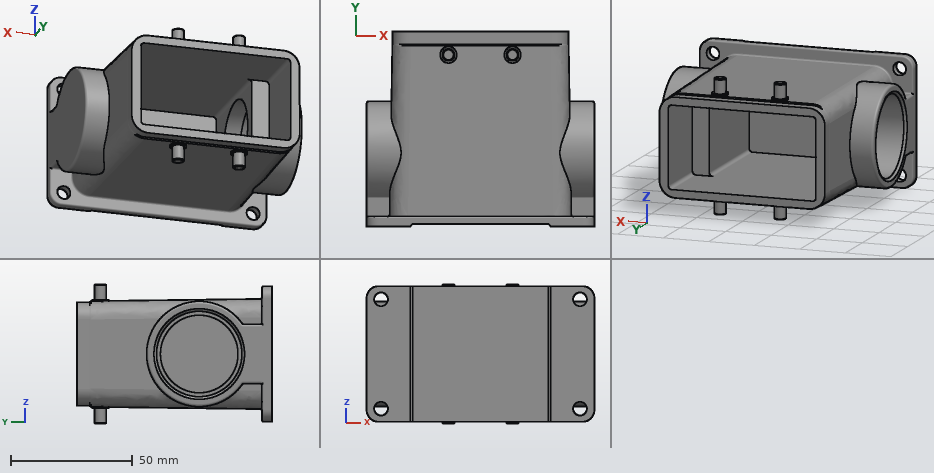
import cadquery as cq

plate_width = 94.0
plate_height = 56.0
plate_thickness = 4.15
plate_corner_radius = 5.0
plate_rim_fillet = 0.7

channel_width = 58.0
channel_depth = 1.0

hole_diameter = 5.6
hole_spacing_x = 82.0
hole_spacing_z = 45.0

total_length = 80.38
shoulder_start = 74.5
shoulder_end = 75.2
body_base_width = 75.0
body_base_height = 45.5
body_end_width = 72.8
body_end_height = 43.7
body_corner_radius = 7.6
lip_width = 72.7
lip_height = 42.7
lip_corner_radius = 7.0
root_fillet = 0.7

margin = 0.1

entry_y = 30.0
entry_outer_radius = 21.7
rib_height = 24.6
entry_corner_fillet = 0.7
entry_rim_fillet = 1.1
foot_height = rib_height + 4 * entry_corner_fillet

bore_radius = 17.6
bore_depth = 15.0
bore_chamfer = 1.1
inner_bore_radius = 16.0

wall = 4.0
mouth_width = body_end_width - 2 * wall
cavity_height = body_end_height - 2 * wall
chamber_width = 50.0
cavity_corner_radius = 1.5
mouth_floor_y = entry_y + entry_outer_radius

pin_spacing = 26.4
pin_y = 70.75
pin_radius = 2.5
pin_tip_z = 57.51 / 2
pin_tip_chamfer = 0.4
collar_radius = 3.4
collar_top_z = 22.4


def section_plane(y):
    """Workplane parallel to XZ at the given y, with its normal along +Y."""
    return cq.Workplane(cq.Plane(origin=(0, y, 0), xDir=(1, 0, 0), normal=(0, 1, 0)))


def rounded_rectangle(width, height, radius):
    return cq.Sketch().rect(width, height).vertices().fillet(radius)


def rounded_block(y_start, y_end, width, height, radius):
    outline = rounded_rectangle(width, height, radius)
    return section_plane(y_start).placeSketch(outline).extrude(y_end - y_start)


def tapered_block(y_start, start_outline, y_end, end_outline):
    length = y_end - y_start
    end_location = cq.Location(cq.Vector(0, 0, length))
    sections = section_plane(y_start).placeSketch(start_outline, end_outline.moved(end_location))
    return sections.loft(ruled=True)


def make_plate():
    plate = rounded_block(0, plate_thickness, plate_width, plate_height, plate_corner_radius)
    return plate.faces(">Y").edges().fillet(plate_rim_fillet)


def make_body():
    base_outline = rounded_rectangle(body_base_width, body_base_height, body_corner_radius)
    end_outline = rounded_rectangle(body_end_width, body_end_height, body_corner_radius)
    lip_outline = rounded_rectangle(lip_width, lip_height, lip_corner_radius)
    body = tapered_block(plate_thickness, base_outline, shoulder_start, end_outline)
    shoulder = tapered_block(shoulder_start, end_outline, shoulder_end, lip_outline)
    lip = rounded_block(shoulder_end, total_length, lip_width, lip_height, lip_corner_radius)
    return body.union(shoulder).union(lip)


def add_root_fillet(part):
    """Round the corner where the body meets the front face of the plate."""
    root = cq.selectors.BoxSelector(
        (-body_base_width / 2 - margin, plate_thickness - margin, -body_base_height / 2 - margin),
        (body_base_width / 2 + margin, plate_thickness + margin, body_base_height / 2 + margin),
        boundingbox=True,
    )
    return part.edges(root).fillet(root_fillet)


def make_entry_bosses():
    """One bar spanning the plate width: a cylinder joined to the plate by a rib on a low foot."""
    cylinder = (
        cq.Workplane("YZ", origin=(-plate_width / 2, 0, 0))
        .center(entry_y, 0)
        .circle(entry_outer_radius)
        .extrude(plate_width)
    )
    rib = cq.Workplane("XY").box(plate_width, entry_y, rib_height)
    rib = rib.translate((0, entry_y / 2, 0))
    foot = cq.Workplane("XY").box(plate_width, plate_thickness, foot_height)
    foot = foot.translate((0, plate_thickness / 2, 0))
    bosses = cylinder.union(rib).union(foot)

    inner_corners = cq.selectors.BoxSelector(
        (-plate_width, plate_thickness / 2 + margin, -rib_height / 2 - margin),
        (plate_width, entry_y - margin, rib_height / 2 + margin),
    )
    bosses = bosses.edges("|X").edges(inner_corners).fillet(entry_corner_fillet)
    for side in ("<X", ">X"):
        cylinder_rim = bosses.faces(side).edges("%CIRCLE").edges(">Y")
        bosses = cylinder_rim.fillet(entry_rim_fillet)
    return bosses


def make_pin(x, side):
    """A collared pin pointing along Z, up for side 1 and down for side -1."""
    pin = (
        cq.Workplane("XY", origin=(x, pin_y, 0))
        .circle(pin_radius)
        .extrude(pin_tip_z)
        .faces(">Z")
        .chamfer(pin_tip_chamfer)
    )
    collar = cq.Workplane("XY", origin=(x, pin_y, 0)).circle(collar_radius).extrude(collar_top_z)
    pin = pin.union(collar)
    return pin if side > 0 else pin.mirror("XY")


def add_pins(part):
    for x in (-pin_spacing / 2, pin_spacing / 2):
        for side in (1, -1):
            part = part.union(make_pin(x, side))
    return part


def make_cavity():
    chamber = rounded_block(
        plate_thickness, mouth_floor_y, chamber_width, cavity_height, cavity_corner_radius
    )
    mouth = rounded_block(
        mouth_floor_y, total_length, mouth_width, cavity_height, cavity_corner_radius
    )
    return chamber.union(mouth)


def make_entry_bore():
    """Bore along X, entering from the -X side and ending inside the cavity."""
    mouth_radius = bore_radius + bore_chamfer
    step_x = bore_depth - plate_width / 2
    profile = [
        (-plate_width / 2, 0),
        (-plate_width / 2, mouth_radius),
        (bore_chamfer - plate_width / 2, bore_radius),
        (step_x, bore_radius),
        (step_x, inner_bore_radius),
        (0, inner_bore_radius),
        (0, 0),
    ]
    bore = cq.Workplane("XY").polyline(profile).close().revolve(360, (0, 0, 0), (1, 0, 0))
    return bore.translate((0, entry_y, 0))


def make_mounting_holes():
    return (
        section_plane(0)
        .rarray(hole_spacing_x, hole_spacing_z, 2, 2)
        .circle(hole_diameter / 2)
        .extrude(plate_thickness)
    )


def make_back_channel():
    """Channel along Z whose side walls slope at 45 degrees."""
    half_width = channel_width / 2
    floor_half_width = half_width - channel_depth
    profile = [
        (-half_width, 0),
        (-floor_half_width, channel_depth),
        (floor_half_width, channel_depth),
        (half_width, 0),
    ]
    return cq.Workplane("XY").polyline(profile).close().extrude(plate_height / 2, both=True)


housing = add_root_fillet(make_body().union(make_plate()))
housing = add_pins(housing.union(make_entry_bosses()))
for cut in (make_cavity(), make_entry_bore(), make_mounting_holes(), make_back_channel()):
    housing = housing.cut(cut)

result = housing